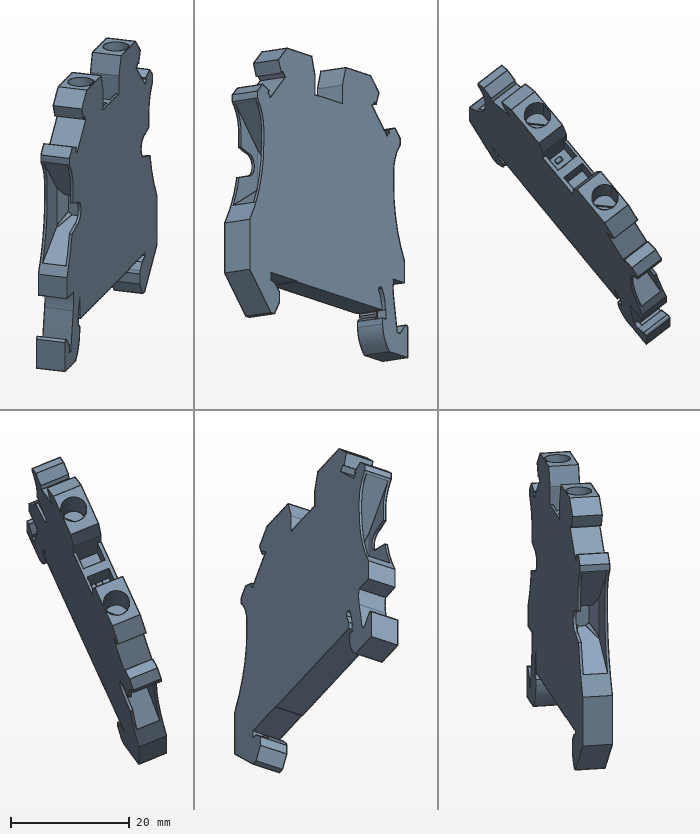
import cadquery as cq
import math


thickness = 5.15
length = 48.0
height = 46.85
wall = 0.5
half_length = length / 2

gap_half_width = 4.15
gap_floor_z = 40.35
tower_inner_edge = (5.2, height)
tower_outer_edge = (12.65, height)

waist_y = 19.75
waist_top = (waist_y, 31.35)
waist_bottom = (waist_y, 29.0)
neck_end = (20.85, 35.35)
waist_end = (half_length, 15.0)

base_z = 6.8
base_recess_z = 6.95
base_recess_end_y = 9.6
hook_root_y = 17.55
hook_nose_y = 14.95
hook_nose_z = 4.1
side_face_y = -23.0
side_face_bottom_z = 12.8
foot_slot_y = -16.15
foot_ledge_y = -17.3
foot_ledge_z = 5.45
foot_ledge_end_y = -16.3
spring_slot_end_y = -14.9
spring_slot_fill_top_z = 10.85
valley_inner = (-20.6, 4.35)
valley_outer = (-21.75, 3.9)
valley_floor_z = 2.65
valley_floor_inner_y = -20.95
valley_web_thickness = 0.85
raised_start_x = 1.7

funnel_left_x = wall
funnel_right_x = thickness - wall
throat_left_x = 1.7
throat_right_x = 4.2
throat_top_z = 27.65
throat_bottom_z = 23.8
throat_y = 12.15
throat_chamfer = 0.6
taper_start_y = 14.75
taper_start_chamfer = 0.2
ceiling_angle = 45.0
mouth_top = (21.4, 36.1)
mouth_bottom = (22.15, 18.35)

notch_radius = 2.0
notch_centre = (17.7, 26.3)
notch_mouth_half_height = 2.6

screw_x = 2.9
screw_y = 9.15
screw_hole_radius = 2.2
screw_hole_flat_x = 4.9
screw_hole_depth = 7.2
screw_slot_width = 0.7
screw_slot_depth = 0.7
screw_slot_angle = -45.0

pocket_left_x = 0.65
pocket_inner_y = 0.8
pocket_depth = 4.8
contact_left_x = 2.0
contact_right_x = 3.2
contact_radius = 0.45
contact_positions_y = (1.3, 3.05)


def mirrored(point):
    return (-point[0], point[1])


def tangent_arc_radius(tangent_point, end_point):
    """Radius of the arc that leaves tangent_point vertically and ends at end_point."""
    dy = end_point[0] - tangent_point[0]
    dz = end_point[1] - tangent_point[1]
    return (dy**2 + dz**2) / (2 * dy)


def waist_point_at(y):
    """Point of the lower waist arc at the given distance from the mirror plane."""
    radius = tangent_arc_radius(waist_bottom, waist_end)
    drop = math.sqrt(radius**2 - (radius - (y - waist_y)) ** 2)
    return (y, waist_bottom[1] - drop)


def tangent_arc_mid(tangent_point, end_point):
    """Middle of the arc that leaves tangent_point vertically and ends at end_point."""
    dz = end_point[1] - tangent_point[1]
    radius = tangent_arc_radius(tangent_point, end_point)
    half_angle = math.asin(abs(dz) / radius) / 2
    mid_y = tangent_point[0] + radius * (1 - math.cos(half_angle))
    mid_z = tangent_point[1] + math.copysign(radius * math.sin(half_angle), dz)
    return (mid_y, mid_z)


def prism(points, x_start, x_end):
    """Closed YZ polygon extruded along X."""
    return cq.Workplane("YZ", origin=(x_start, 0, 0)).polyline(points).close().extrude(x_end - x_start)


def both_ends(tool):
    return tool.union(tool.mirror("XZ"))


def make_body():
    tower = [
        (gap_half_width, gap_floor_z),
        (gap_half_width, 43.6),
        tower_inner_edge,
        tower_outer_edge,
        (15.25, 44.35),
        (14.4, 42.2),
        (13.95, 42.55),
        (13.2, 41.7),
        (17.7, 37.35),
        (18.4, 38.0),
        (18.05, 38.4),
        (20.1, 39.15),
        (21.7, 37.7),
        (21.7, 36.5),
        neck_end,
    ]
    neck_mid = tangent_arc_mid(waist_top, neck_end)
    waist_mid = tangent_arc_mid(waist_bottom, waist_end)
    side_waist_end = waist_point_at(-side_face_y)
    side_waist_mid = tangent_arc_mid(waist_bottom, side_waist_end)

    outline = cq.Workplane("YZ").polyline(tower)
    outline = outline.threePointArc(neck_mid, waist_top).lineTo(*waist_bottom)
    outline = outline.threePointArc(waist_mid, waist_end)

    hook = [
        (half_length, 6.3),
        (hook_root_y, 0),
        (16.45, 0),
        (hook_nose_y, 2.25),
        (hook_nose_y, hook_nose_z),
        (16.35, 5.4),
        (hook_root_y, 5.65),
        (hook_root_y, base_recess_z),
        (base_recess_end_y, base_recess_z),
        (base_recess_end_y, base_z),
        (foot_slot_y, base_z),
    ]
    for point in hook:
        outline = outline.lineTo(*point)

    outline = outline.lineTo(-16.05, 8.15).lineTo(-15.2, 10.1)
    outline = outline.threePointArc((-15.55, 10.65), (-16.15, 10.55))
    outline = outline.threePointArc((-16.9, 8.95), (-17.15, 7.05))
    outline = outline.lineTo(foot_ledge_y, 7.05).lineTo(foot_ledge_y, foot_ledge_z)
    outline = outline.lineTo(foot_ledge_end_y, foot_ledge_z).lineTo(foot_ledge_end_y, 4.4)
    outline = outline.threePointArc((-16.9, 2.05), (-18.45, 0)).lineTo(-half_length, 0)
    outline = outline.lineTo(-half_length, 5.25)
    outline = outline.threePointArc((-23.7, 5.5), (-23.3, 5.5))
    outline = outline.lineTo(*valley_outer)
    outline = outline.lineTo(valley_outer[0], valley_floor_z).lineTo(valley_floor_inner_y, valley_floor_z)
    outline = outline.threePointArc((-20.35, 6.2), (-19.75, 9.5))
    outline = outline.threePointArc((-19.55, 11.2), (-19.7, side_face_bottom_z))
    outline = outline.lineTo(side_face_y, side_face_bottom_z).lineTo(*mirrored(side_waist_end))

    outline = outline.threePointArc(mirrored(side_waist_mid), mirrored(waist_bottom))
    outline = outline.lineTo(*mirrored(waist_top))
    outline = outline.threePointArc(mirrored(neck_mid), mirrored(neck_end))
    for point in reversed(tower[:-1]):
        outline = outline.lineTo(*mirrored(point))
    return outline.close().extrude(thickness)


def make_valley_web():
    """Round-bottomed web that partly fills the foot valley at the -X face."""
    return (
        cq.Workplane("YZ")
        .moveTo(*valley_outer)
        .threePointArc((-21.05, 3.8), valley_inner)
        .lineTo(valley_inner[0], valley_floor_z)
        .lineTo(valley_outer[0], valley_floor_z)
        .close()
        .extrude(valley_web_thickness)
    )


def make_raised_steps():
    """Steps behind the -X face: hook top, spring slot filling and foot ledge."""
    hook_step = [
        (hook_nose_y, hook_nose_z),
        (15.15, 4.6),
        (16.2, 5.8),
        (hook_root_y, 6.45),
        (hook_root_y, 5.3),
    ]
    slot_filling = [
        (foot_slot_y, base_z),
        (foot_slot_y, spring_slot_fill_top_z),
        (spring_slot_end_y, spring_slot_fill_top_z),
        (spring_slot_end_y, base_z),
    ]
    ledge_step = [
        (foot_ledge_end_y, foot_ledge_z),
        (-16.65, 5.8),
        (-17.1, 6.05),
        (-16.95, 6.5),
        (-16.95, 6.9),
        (-17.15, 7.1),
        (foot_ledge_y, 7.1),
        (foot_ledge_y, foot_ledge_z),
    ]
    steps = prism(hook_step, raised_start_x, thickness)
    steps = steps.union(prism(slot_filling, raised_start_x, thickness))
    return steps.union(prism(ledge_step, raised_start_x, thickness))


def make_funnel():
    """Wire entry at the +Y end, narrowing to a throat with chamfered lower corners."""
    outside_y = half_length + 0.5
    ceiling_slope = math.tan(math.radians(ceiling_angle))
    ceiling_end_y = mouth_top[0] - (mouth_top[1] - throat_top_z) / ceiling_slope
    floor_slope = (throat_bottom_z - mouth_bottom[1]) / (mouth_bottom[0] - throat_y)
    taper_floor_z = throat_bottom_z - floor_slope * (taper_start_y - throat_y)
    side_profile = [
        (throat_y, throat_bottom_z),
        (throat_y, throat_top_z),
        (ceiling_end_y, throat_top_z),
        (outside_y, mouth_top[1] + ceiling_slope * (outside_y - mouth_top[0])),
        (outside_y, mouth_bottom[1] - floor_slope * (outside_y - mouth_bottom[0])),
    ]

    def section(left, right, bottom, chamfer, y):
        points = [
            (left, mouth_top[1]),
            (left, bottom + chamfer),
            (left + chamfer, bottom),
            (right - chamfer, bottom),
            (right, bottom + chamfer),
            (right, mouth_top[1]),
        ]
        return cq.Wire.makePolygon([cq.Vector(x, y, z) for x, z in points], close=True)

    throat = section(throat_left_x, throat_right_x, throat_bottom_z, throat_chamfer, throat_y)
    taper_mouth = section(
        funnel_left_x, funnel_right_x, taper_floor_z, taper_start_chamfer, taper_start_y
    )
    taper = cq.Workplane(obj=cq.Solid.makeLoft([throat, taper_mouth], True))

    mouth_width = funnel_right_x - funnel_left_x
    mouth = cq.Workplane(origin=(funnel_left_x, taper_start_y, 0)).box(
        mouth_width, outside_y - taper_start_y, height, centered=False
    )
    return prism(side_profile, funnel_left_x, funnel_right_x).intersect(taper.union(mouth))


def make_wall_notch():
    """Round-ended, flared opening in the +X wall at the +Y end."""
    centre_y, centre_z = notch_centre
    flare_slope = (notch_mouth_half_height - notch_radius) / (waist_y - centre_y)
    outside_y = half_length + 0.5
    outside_half_height = notch_radius + flare_slope * (outside_y - centre_y)
    return (
        cq.Workplane("YZ", origin=(funnel_right_x, 0, 0))
        .moveTo(centre_y, centre_z + notch_radius)
        .threePointArc((centre_y - notch_radius, centre_z), (centre_y, centre_z - notch_radius))
        .lineTo(outside_y, centre_z - outside_half_height)
        .lineTo(outside_y, centre_z + outside_half_height)
        .close()
        .extrude(wall)
    )


def make_screw_hole(y):
    """Screw hole with a flat on its +X side and a driver slot in its floor."""
    floor_z = height - screw_hole_depth
    diameter = 2 * screw_hole_radius
    hole = cq.Workplane(origin=(screw_x, y, floor_z)).circle(screw_hole_radius).extrude(screw_hole_depth)
    slot = (
        cq.Workplane(origin=(screw_x, y, floor_z - screw_slot_depth))
        .transformed(rotate=(0, 0, screw_slot_angle))
        .rect(diameter, screw_slot_width)
        .extrude(screw_slot_depth)
    )
    bore = cq.Workplane(origin=(screw_x, y, floor_z - screw_slot_depth)).circle(screw_hole_radius)
    hole = hole.union(slot.intersect(bore.extrude(screw_slot_depth)))
    flat_side = cq.Workplane(origin=(screw_hole_flat_x, y - screw_hole_radius, 0)).box(
        diameter, diameter, height, centered=False
    )
    return hole.cut(flat_side)


def make_pocket():
    """Jumper pocket against the +Y tower."""
    return cq.Workplane(origin=(pocket_left_x, pocket_inner_y, gap_floor_z - pocket_depth)).box(
        funnel_right_x - pocket_left_x, gap_half_width - pocket_inner_y, pocket_depth, centered=False
    )


def make_contact(y):
    """Round contact bar lying on the floor of the +Y jumper pocket."""
    return (
        cq.Workplane("YZ", origin=(contact_left_x, y, gap_floor_z - pocket_depth))
        .circle(contact_radius)
        .extrude(contact_right_x - contact_left_x)
    )


result = make_body().union(make_raised_steps()).union(make_valley_web())
result = result.cut(both_ends(make_funnel()))
result = result.cut(both_ends(make_wall_notch()))
result = result.cut(both_ends(make_pocket()))
for y in (-screw_y, screw_y):
    result = result.cut(make_screw_hole(y))
for y in contact_positions_y:
    result = result.union(make_contact(y))